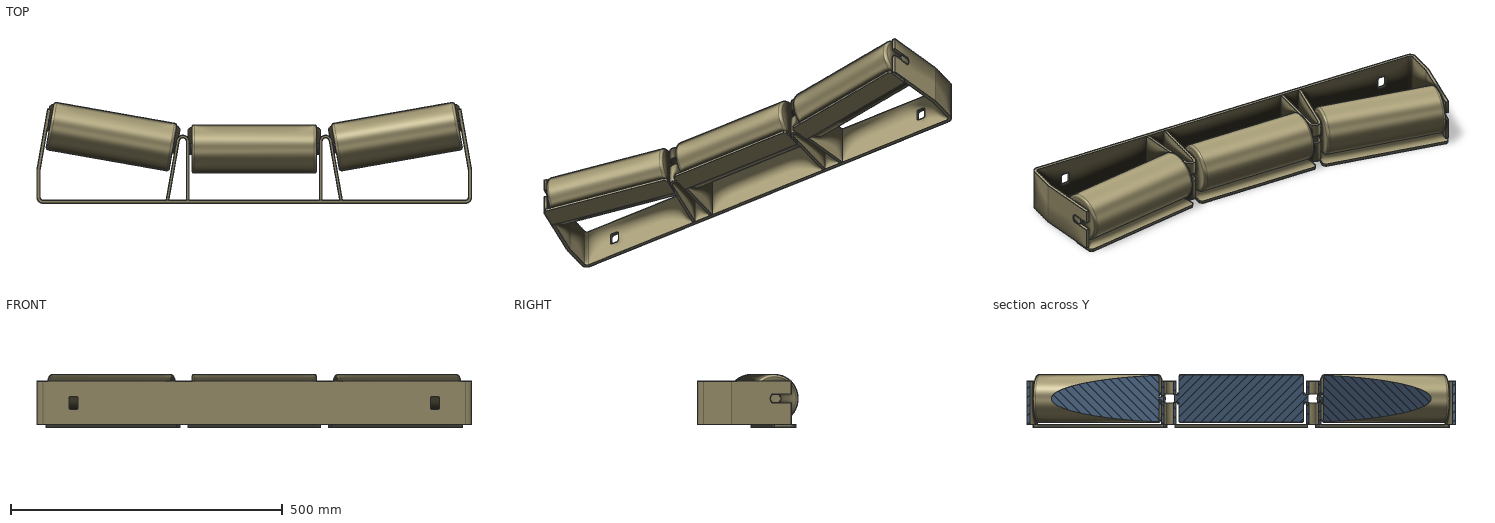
import cadquery as cq
import math

tilt = 10.0
overall_width = 800.0
base_thickness = 5.0
strip_height = 80.0
strip_bottom = base_thickness

frame_thickness = 6.0
frame_corner_radius = 11.0
frame_bend_y = 62.5
frame_arm_length = 112.5
mount_hole_width = 17.0
mount_hole_height = 24.0
mount_hole_corner = 4.0
mount_hole_spacing = 665.0

bracket_thickness = 5.0
bracket_bend_radius = 11.5
bracket_tip_y = 125.5
bracket_gap = 240.0

roller_radius = 44.5
roller_length = 230.0
roller_edge_radius = 5.0
roller_axis_z = 53.0
middle_roller_y = 100.0
side_roller_x = 262.7
side_roller_y = 122.67
shaft_radius = 10.0
shaft_length = 246.0
shaft_shoulder_length = 235.0
shaft_flats = 14.0
slot_width = 16.0
slot_length = 80.0
slot_reach = 137.0

base_length = 244.0
base_width = 41.0
base_setback = 1.5
base_chamfer = 4.5

tilt_rad = math.radians(tilt)
tilt_cos = math.cos(tilt_rad)
tilt_sin = math.sin(tilt_rad)
half_width = overall_width / 2

stations = [
    (-side_roller_x, side_roller_y, -tilt),
    (0.0, middle_roller_y, 0.0),
    (side_roller_x, side_roller_y, tilt),
]


def place(body, station):
    """Move a body built around the origin to a roller station."""
    x, y, angle = station
    return body.rotate((0, 0, 0), (0, 0, 1), angle).translate((x, y, 0))


def make_slots():
    """Cutter for both shaft slots of one roller: rounded like the shaft at its end, open towards +Y."""
    half_slot = slot_width / 2
    arc_start = -math.sqrt(shaft_radius**2 - half_slot**2)
    return (
        cq.Workplane("YZ", origin=(-slot_reach, 0, roller_axis_z))
        .moveTo(arc_start, -half_slot)
        .lineTo(slot_length, -half_slot)
        .lineTo(slot_length, half_slot)
        .lineTo(arc_start, half_slot)
        .threePointArc((-shaft_radius, 0), (arc_start, -half_slot))
        .close()
        .extrude(2 * slot_reach)
    )


def make_frame():
    inner_x = half_width - frame_thickness
    inner_bend_y = frame_bend_y - frame_thickness * math.tan(tilt_rad / 2)
    outer_tip = (
        half_width - frame_arm_length * tilt_sin,
        frame_bend_y + frame_arm_length * tilt_cos,
    )
    inner_tip = (
        outer_tip[0] - frame_thickness * tilt_cos,
        outer_tip[1] - frame_thickness * tilt_sin,
    )
    right_side = [
        (half_width, 0),
        (half_width, frame_bend_y),
        outer_tip,
        inner_tip,
        (inner_x, inner_bend_y),
        (inner_x, frame_thickness),
    ]
    left_side = [(-x, y) for x, y in reversed(right_side)]
    frame = (
        cq.Workplane("XY", origin=(0, 0, strip_bottom))
        .polyline(right_side + left_side)
        .close()
        .extrude(strip_height)
    )
    frame = frame.edges("|Z and <Y").fillet(frame_corner_radius)
    inner_corners = cq.selectors.BoxSelector(
        (-half_width, frame_thickness / 2, 0),
        (half_width, frame_bend_y / 2, strip_bottom + strip_height),
    )
    frame = frame.edges(inner_corners).edges("|Z").fillet(frame_corner_radius - frame_thickness)
    mount_holes = (
        cq.Workplane("XZ", origin=(0, 0, strip_bottom + strip_height / 2))
        .rarray(mount_hole_spacing, 1, 2, 1)
        .rect(mount_hole_width, mount_hole_height)
        .extrude(-frame_thickness)
        .edges("|Y")
        .fillet(mount_hole_corner)
    )
    frame = frame.cut(mount_holes)
    for station in (stations[0], stations[2]):
        frame = frame.cut(place(make_slots(), station))
    return frame


def make_left_bracket():
    """One leg stands square beside the middle roller, the other leans along the left roller."""
    outer_r = bracket_bend_radius
    inner_r = outer_r - bracket_thickness
    bend_x = -bracket_gap / 2 - outer_r
    bend_y = bracket_tip_y - outer_r

    def leaning_point(radius):
        """Where the bend meets the leaning leg."""
        return (bend_x - radius * tilt_cos, bend_y + radius * tilt_sin)

    def leaning_foot(radius):
        """Where the leaning leg meets the frame."""
        x, y = leaning_point(radius)
        return (x - (y - frame_thickness) * math.tan(tilt_rad), frame_thickness)

    bracket = (
        cq.Workplane("XY", origin=(0, 0, strip_bottom))
        .moveTo(bend_x + outer_r, frame_thickness)
        .lineTo(bend_x + outer_r, bend_y)
        .threePointArc((bend_x, bend_y + outer_r), leaning_point(outer_r))
        .lineTo(*leaning_foot(outer_r))
        .lineTo(*leaning_foot(inner_r))
        .lineTo(*leaning_point(inner_r))
        .threePointArc((bend_x, bend_y + inner_r), (bend_x + inner_r, bend_y))
        .lineTo(bend_x + inner_r, frame_thickness)
        .close()
        .extrude(strip_height)
    )
    for station in stations[:2]:
        bracket = bracket.cut(place(make_slots(), station))
    return bracket


def make_roller():
    """Roller with its shaft, axis along X; the shaft ends are flattened to enter the slots."""
    drum = (
        cq.Workplane("YZ", origin=(-roller_length / 2, 0, roller_axis_z))
        .circle(roller_radius)
        .extrude(roller_length)
        .faces("<X or >X")
        .edges()
        .fillet(roller_edge_radius)
    )
    shaft = (
        cq.Workplane("YZ", origin=(-shaft_length / 2, 0, roller_axis_z))
        .circle(shaft_radius)
        .extrude(shaft_length)
    )
    flat_block = cq.Workplane("XY", origin=(0, 0, roller_axis_z)).box(
        shaft_length, 2 * shaft_radius, shaft_flats
    )
    round_block = cq.Workplane("XY", origin=(0, 0, roller_axis_z)).box(
        shaft_shoulder_length, 2 * shaft_radius, 2 * shaft_radius
    )
    return drum.union(shaft.intersect(flat_block.union(round_block)))


def make_base_plate():
    """Plate under the +Y half of a roller, with its two outer corners cut off."""
    return (
        cq.Workplane("XY")
        .rect(base_length, base_width)
        .extrude(base_thickness)
        .edges("|Z and >Y")
        .chamfer(base_chamfer)
        .translate((0, base_width / 2 - base_setback, 0))
    )


frame = make_frame()
left_bracket = make_left_bracket()
brackets = [left_bracket, left_bracket.mirror("YZ")]
rollers = [place(make_roller(), station) for station in stations]
base_plates = [place(make_base_plate(), station) for station in stations]

bodies = [frame] + brackets + rollers + base_plates
result = cq.Compound.makeCompound([body.val() for body in bodies])